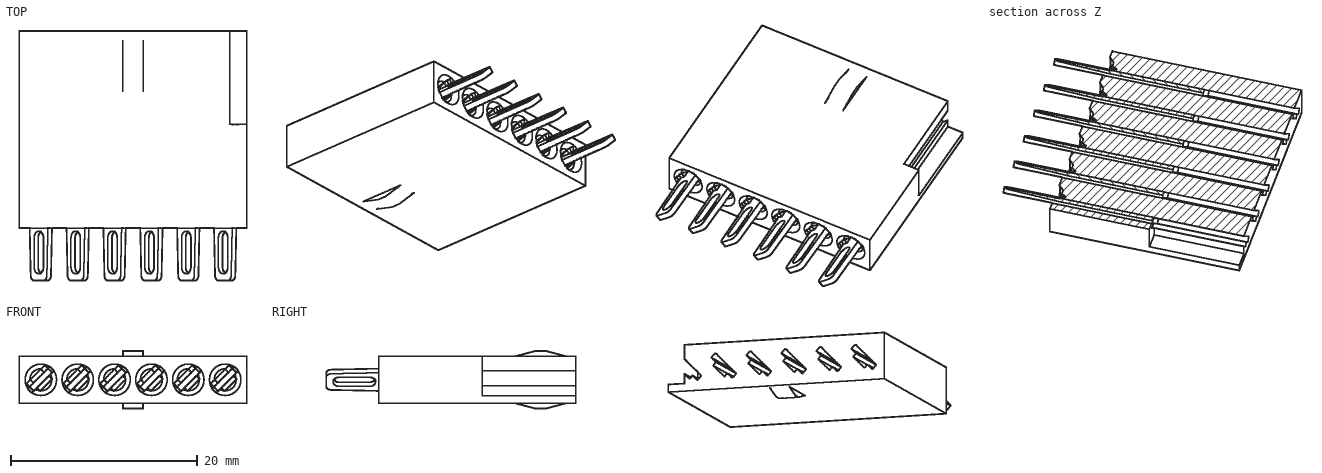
import cadquery as cq
import math

HOUSING_WIDTH = 24.45
HOUSING_DEPTH = 21.18
HOUSING_HEIGHT = 5.07

OVERALL_HEIGHT = 6.22
LATCH_WIDTH = 2.2
LATCH_LENGTH = 5.42
LATCH_CREST = 1.07
LATCH_BACK_GAP = 1.07
LATCH_HEIGHT = (OVERALL_HEIGHT - HOUSING_HEIGHT) / 2

CONTACT_COUNT = 6
CONTACT_SPAN = 19.79
CONTACT_PITCH = CONTACT_SPAN / (CONTACT_COUNT - 1)
CONTACT_TURN = -45.0

OVERALL_DEPTH = 26.8
BLADE_REACH = OVERALL_DEPTH - HOUSING_DEPTH
BLADE_THICKNESS = 0.65
BLADE_TIP_WIDTH = 2.45
BLADE_ROOT_WIDTH = 2.82
BLADE_CORNER_RADIUS = 0.55
EYE_WIDTH = 1.4
EYE_LENGTH = 4.55
EYE_FRONT_GAP = 0.32

MOUTH_RADIUS = 1.7
MOUTH_FLOOR_RADIUS = 1.18
MOUTH_DEPTH = 0.62
KEYWAY_WIDTH = 2.8
SLOT_WIDTH = 2 * MOUTH_RADIUS
WINDOW_REACH = 0.8
LOWER_WINDOW_WIDTH = 1.82
UPPER_WINDOW_WIDTH = 1.6
RAMP_ANGLE = math.radians(24.0)

NOTCH_WIDTH = 1.82
NOTCH_LENGTH = 10.03
LEDGE_THICKNESS = HOUSING_HEIGHT / 2 - MOUTH_RADIUS

BLADE_INSERTION = HOUSING_DEPTH - NOTCH_LENGTH


def box(width, y_start, y_end, z_low, z_high):
    """Block centred on X between the given Y and Z limits."""
    return cq.Workplane("XY").box(
        width, y_end - y_start, z_high - z_low, centered=(True, False, False)
    ).translate((0, y_start, z_low))


def at_contact(shape, index):
    """Turn a shape built about the Y axis and move it to one contact position."""
    x = index * CONTACT_PITCH - CONTACT_SPAN / 2
    return shape.rotate((0, 0, 0), (0, 1, 0), CONTACT_TURN).translate((x, 0, 0))


def make_latch():
    """Bump with a flat crest and two ramps, standing on the top face."""
    base = HOUSING_HEIGHT / 2
    back = HOUSING_DEPTH - LATCH_BACK_GAP
    front = back - LATCH_LENGTH
    ramp = (LATCH_LENGTH - LATCH_CREST) / 2
    return (
        cq.Workplane("YZ")
        .moveTo(front, 0)
        .lineTo(front, base)
        .lineTo(front + ramp, base + LATCH_HEIGHT)
        .lineTo(back - ramp, base + LATCH_HEIGHT)
        .lineTo(back, base)
        .lineTo(back, 0)
        .close()
        .extrude(LATCH_WIDTH / 2, both=True)
    )


def make_notch():
    """Block removed from the back right corner, above the ledge."""
    notch_x = (HOUSING_WIDTH - NOTCH_WIDTH) / 2
    ledge_top = LEDGE_THICKNESS - HOUSING_HEIGHT / 2
    notch = box(NOTCH_WIDTH, HOUSING_DEPTH - NOTCH_LENGTH, HOUSING_DEPTH, ledge_top, HOUSING_HEIGHT / 2)
    return notch.translate((notch_x, 0, 0))


def make_mouth():
    """Cone that narrows from the front face to the mouth floor."""
    return (
        cq.Workplane("XY")
        .lineTo(MOUTH_RADIUS, 0)
        .lineTo(MOUTH_FLOOR_RADIUS, MOUTH_DEPTH)
        .lineTo(0, MOUTH_DEPTH)
        .close()
        .revolve(360, (0, 0, 0), (0, 1, 0))
    )


def make_upper_window():
    """Blind opening whose ceiling arcs down until it is tangent to the blade face."""
    blade_face = BLADE_THICKNESS / 2
    ramp_radius = (WINDOW_REACH - blade_face) / (1 - math.cos(RAMP_ANGLE))
    ramp_end = MOUTH_DEPTH + ramp_radius * math.sin(RAMP_ANGLE)
    middle = (
        ramp_end - ramp_radius * math.sin(RAMP_ANGLE / 2),
        blade_face + ramp_radius * (1 - math.cos(RAMP_ANGLE / 2)),
    )
    return (
        cq.Workplane("YZ")
        .moveTo(0, 0)
        .lineTo(0, WINDOW_REACH)
        .lineTo(MOUTH_DEPTH, WINDOW_REACH)
        .threePointArc(middle, (ramp_end, blade_face))
        .lineTo(ramp_end, 0)
        .close()
        .extrude(UPPER_WINDOW_WIDTH / 2, both=True)
    )


def make_cavity():
    """Everything removed from the housing at one contact."""
    half_slot = BLADE_THICKNESS / 2
    blade_slot = box(SLOT_WIDTH, 0, HOUSING_DEPTH, -half_slot, half_slot).intersect(
        cq.Workplane("XZ").circle(MOUTH_RADIUS).extrude(-HOUSING_DEPTH)
    )
    lower_window = box(LOWER_WINDOW_WIDTH, 0, HOUSING_DEPTH, -WINDOW_REACH, 0)
    keyway = box(KEYWAY_WIDTH, 0, MOUTH_DEPTH, 0, WINDOW_REACH)
    return make_mouth().union(blade_slot).union(lower_window).union(keyway).union(make_upper_window())


def make_housing():
    """Block with two latch bumps, a corner notch and a row of contact cavities."""
    half_height = HOUSING_HEIGHT / 2
    housing = box(HOUSING_WIDTH, 0, HOUSING_DEPTH, -half_height, half_height)
    latch = make_latch()
    housing = housing.union(latch).union(latch.mirror("XY")).cut(make_notch())
    cavity = make_cavity()
    for index in range(CONTACT_COUNT):
        housing = housing.cut(at_contact(cavity, index))
    return housing


def make_terminal():
    """Tapered blade with rounded tip corners and a long solder eye."""
    tip = BLADE_TIP_WIDTH / 2
    root = BLADE_ROOT_WIDTH / 2
    half_thickness = BLADE_THICKNESS / 2
    blade = (
        cq.Workplane("XY")
        .moveTo(-tip, -BLADE_REACH)
        .lineTo(tip, -BLADE_REACH)
        .lineTo(root, MOUTH_DEPTH)
        .lineTo(root, BLADE_INSERTION)
        .lineTo(-root, BLADE_INSERTION)
        .lineTo(-root, MOUTH_DEPTH)
        .close()
        .extrude(half_thickness, both=True)
        .edges("|Z and <Y")
        .fillet(BLADE_CORNER_RADIUS)
    )
    eye = (
        cq.Workplane("XY")
        .center(0, -EYE_FRONT_GAP - EYE_LENGTH / 2)
        .slot2D(EYE_LENGTH, EYE_WIDTH, 90)
        .extrude(half_thickness, both=True)
    )
    return blade.cut(eye)


housing = make_housing()
terminal = make_terminal()
terminals = [at_contact(terminal, index).val() for index in range(CONTACT_COUNT)]

result = cq.Compound.makeCompound([*housing.solids().vals(), *terminals])